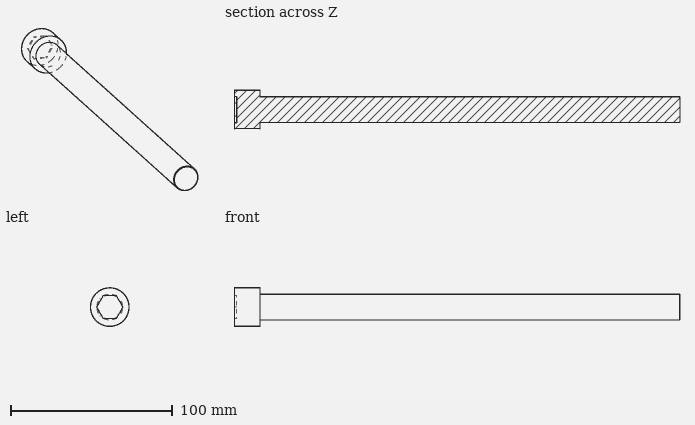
import cadquery as cq
import math

total_length = 276.0
shank_diameter = 16.0
head_diameter = 1.5 * shank_diameter
head_height = shank_diameter
tip_chamfer = 0.41

socket_across_flats = 14.0
socket_across_corners = socket_across_flats / math.cos(math.pi / 6)
socket_depth = 1.5

head_face_x = -total_length / 2


def cylinder_along_x(diameter, length):
    """Cylinder that starts at the head face and runs toward +X."""
    return cq.Workplane("YZ", origin=(head_face_x, 0, 0)).circle(diameter / 2).extrude(length)


head = cylinder_along_x(head_diameter, head_height)
shank = cylinder_along_x(shank_diameter, total_length).faces(">X").chamfer(tip_chamfer)

socket = (
    cq.Workplane("YZ", origin=(head_face_x, 0, 0))
    .polygon(6, socket_across_corners)
    .extrude(socket_depth)
)

result = head.union(shank).cut(socket)